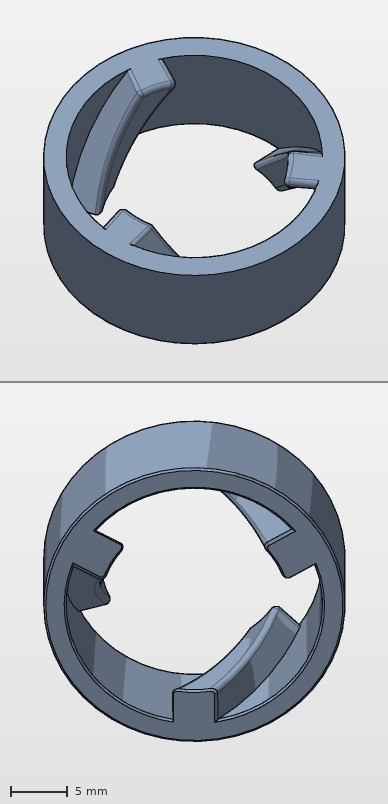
import cadquery as cq
import math

outer_diameter = 26.5
height = 10.0
wall = 2.0
rib_inner_radius = 8.25
rib_width = 3.98
rib_side_shift = 0.13
rib_count = 3
rib_top_angle = 157.2
rib_twist = 49
edge_radius = 0.48
bottom_chamfer = 0.19

outer_radius = outer_diameter / 2
bore_radius = outer_radius - wall
rib_root_radius = bore_radius + wall / 2
edge_limit_radius = bore_radius


def radius_at(point):
    return math.hypot(point.x, point.y)


def make_ring():
    return cq.Workplane("XY").circle(outer_radius).circle(bore_radius).extrude(height)


def make_rib():
    """Twisted rib along +X at its top, turning counter-clockwise on the way down."""
    low_side = rib_side_shift - rib_width / 2
    high_side = rib_side_shift + rib_width / 2
    tip_low = math.sqrt(rib_inner_radius**2 - low_side**2)
    tip_high = math.sqrt(rib_inner_radius**2 - high_side**2)
    rib = (
        cq.Workplane("XY")
        .moveTo(rib_root_radius, low_side)
        .lineTo(tip_low, low_side)
        .threePointArc((rib_inner_radius, 0), (tip_high, high_side))
        .lineTo(rib_root_radius, high_side)
        .close()
        .twistExtrude(height, -rib_twist)
        .rotate((0, 0, 0), (0, 0, 1), rib_twist)
    )
    top_edges = [
        edge
        for edge in rib.faces(">Z").edges().vals()
        if radius_at(edge.Center()) < edge_limit_radius
    ]
    long_edges = [
        edge
        for edge in rib.edges().vals()
        if edge.BoundingBox().zlen > height / 2 and radius_at(edge.startPoint()) < edge_limit_radius
    ]
    return rib.newObject(top_edges + long_edges).fillet(edge_radius)


result = make_ring()
rib = make_rib()
for index in range(rib_count):
    angle = rib_top_angle + index * 360 / rib_count
    result = result.union(rib.rotate((0, 0, 0), (0, 0, 1), angle))

result = result.faces("<Z").edges().chamfer(bottom_chamfer)